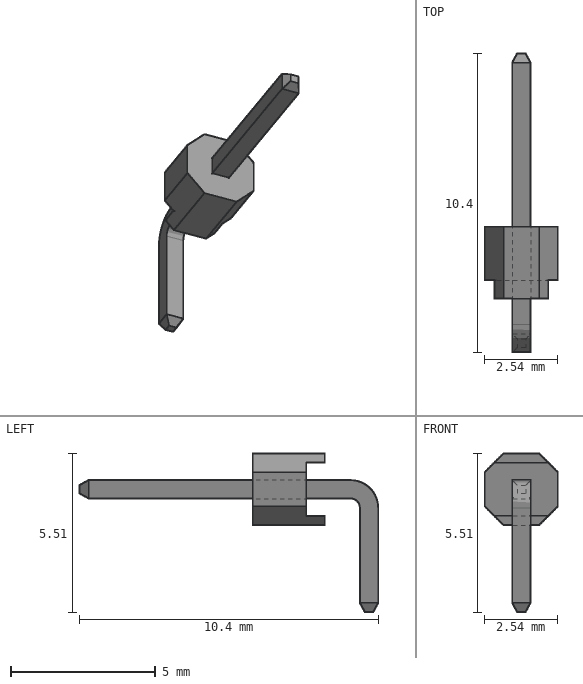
import cadquery as cq


pin_side = 0.64
inner_bend_radius = 0.32
tip_length = 0.32
tip_side = 0.29
pin_span_y = 10.36
back_reach = 6.01
front_reach = pin_span_y - back_reach
drop_to_tip = 4.26

housing_width = 2.54
housing_height = 2.49
corner_chamfer = 0.65
block_length = 1.85
lip_length = 0.64
lip_thickness = 0.32
housing_length = block_length + lip_length

bend_radius = inner_bend_radius + pin_side / 2
leg_y = -front_reach + pin_side / 2
bend_start_y = leg_y + bend_radius


def make_shaft():
    """Square bar: long leg along Y, rounded bend, short leg down along Z, without tips."""
    long_leg_end = back_reach - tip_length
    centre_line = (
        cq.Workplane("YZ")
        .moveTo(long_leg_end, 0)
        .lineTo(bend_start_y, 0)
        .tangentArcPoint((leg_y, -bend_radius), relative=False)
        .lineTo(leg_y, -drop_to_tip + tip_length)
    )
    section = cq.Workplane("XZ", origin=(0, long_leg_end, 0)).rect(pin_side, pin_side)
    return section.sweep(centre_line)


def make_tip(origin, direction):
    """Square frustum that narrows from the pin's section to its blunt tip."""
    base = cq.Plane(origin=origin, xDir=(1, 0, 0), normal=direction)
    return (
        cq.Workplane(base)
        .rect(pin_side, pin_side)
        .workplane(offset=tip_length)
        .rect(tip_side, tip_side)
        .loft(ruled=True)
    )


def make_pin():
    """Right-angle pin with a tapered tip on each leg."""
    long_leg_tip = make_tip((0, back_reach - tip_length, 0), (0, 1, 0))
    short_leg_tip = make_tip((0, leg_y, -drop_to_tip + tip_length), (0, 0, -1))
    return make_shaft().union(long_leg_tip).union(short_leg_tip)


def make_housing():
    """Octagonal block with a front recess open at both sides and a square pin hole."""
    block = (
        cq.Workplane("XZ")
        .rect(housing_width, housing_height)
        .extrude(housing_length)
        .edges("|Y")
        .chamfer(corner_chamfer)
    )
    recess = (
        cq.Workplane("XZ", origin=(0, -block_length, 0))
        .rect(housing_width, housing_height - 2 * lip_thickness)
        .extrude(lip_length)
    )
    pin_hole = cq.Workplane("XZ").rect(pin_side, pin_side).extrude(block_length)
    return block.cut(recess).cut(pin_hole)


housing = make_housing()
pin = make_pin()

result = cq.Compound.makeCompound([housing.val(), pin.val()])